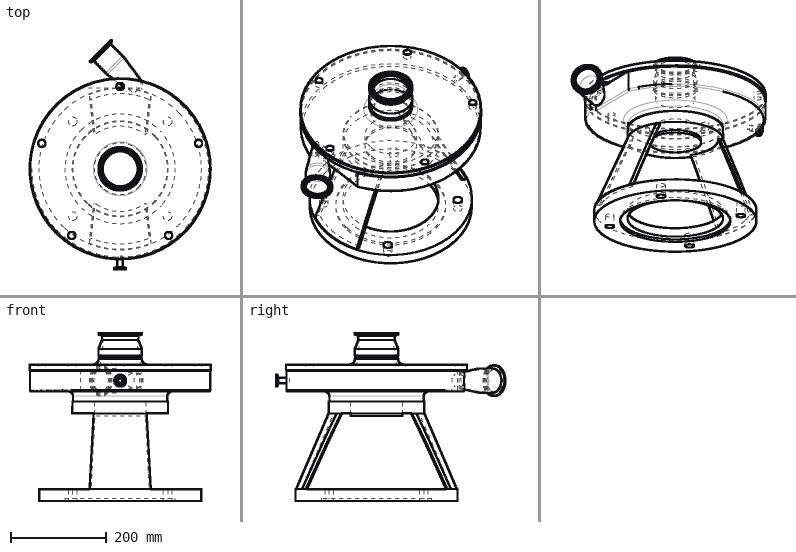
import cadquery as cq
import math

base_radius = 170.0
base_bore_radius = 100.0
base_recess_radius = 115.0
base_recess_depth = 6.0
plate_thickness = 25.0
base_bolt_circle_radius = 140.0
base_bolt_hole_radius = 9.0
base_bolt_count = 4
first_base_bolt_angle = 45

ring_radius = 100.5
ring_bottom_z = 183.5
ring_top_z = ring_bottom_z + plate_thickness

leg_foot_radius = 168.5
leg_wall = 11.0
leg_foot_half_width = 64.5
leg_head_half_width = 55.5
leg_chamfer = 4.0

spigot_radius = 54.2
spigot_bottom_z = 177.5
neck_radius = 99.0
neck_fillet = 9.5
casing_radius = 188.5
casing_bottom_z = 229.0
casing_bottom_fillet = 4.0
edge_chamfer = 1.5

notch_face_y = 169.5
notch_end_x = 43.0

lid_radius = 189.5
lid_bottom_z = 273.0
lid_top_z = 286.0
lid_hole_radius = 7.5
lid_hole_circle_radius = 172.5
lid_hole_count = 5
first_lid_hole_angle = 90

nozzle_top_z = 351.5
nozzle_wide_radius = 45.5
nozzle_tube_radius = 38.5
boss_fillet = 10.5
groove_bottom_z = 297.0
groove_middle_z = 301.0
groove_top_z = 304.5
groove_depth = 2.0
reducer_bottom_z = 318.5
reducer_top_z = 337.0
nozzle_bore_radius = 36.5
nozzle_lower_bore_radius = 41.5
bore_cone_top_z = 322.5
nozzle_gasket_radius = 42.0

flange_rim = 3.0
flange_slope = 3.0
gasket_groove_section = 1.5
port_z = 252.0

outlet_angle = 135
outlet_offset = 145.5
outlet_face_distance = 204.0
outlet_cone_start = 158.5
outlet_cone_end = 91.0
outlet_flange_radius = 32.0
outlet_tube_radius = 25.5
outlet_cone_end_radius = 15.5
outlet_wall = 2.0
outlet_bore_cone_start = 163.0
outlet_gasket_radius = 28.5

drain_face_y = -210.5
drain_root_y = -182.5
drain_flange_radius = 12.5
drain_tube_radius = 6.2
drain_bore_radius = 5.0
drain_gasket_radius = 9.5
drain_flange_slope = 2.0


def disc(radius, bottom_z, top_z):
    return cq.Workplane("XY").workplane(offset=bottom_z).circle(radius).extrude(top_z - bottom_z)


def revolved(profile):
    """Solid of revolution about Z from (radius, z) points; the axis closes the outline."""
    points = [(0, profile[0][1]), *profile, (0, profile[-1][1])]
    return cq.Workplane("XZ").polyline(points).close().revolve(360, (0, 0), (0, 1))


def gasket_groove(radius, face_z):
    """Ring whose lower half sinks into a flange face at height face_z."""
    return (
        cq.Workplane("XZ")
        .center(radius, face_z)
        .circle(gasket_groove_section)
        .revolve(360, (-radius, 0), (-radius, 1))
    )


def make_legs():
    """Two opposite strips of a conical shell, narrowing toward the mounting ring."""
    outer = revolved([(leg_foot_radius, plate_thickness), (ring_radius, ring_bottom_z)])
    inner = revolved([
        (leg_foot_radius - leg_wall, plate_thickness),
        (ring_radius - leg_wall, ring_bottom_z),
    ])
    strip = (
        cq.Workplane("XZ")
        .polyline([
            (-leg_foot_half_width, plate_thickness),
            (leg_foot_half_width, plate_thickness),
            (leg_head_half_width, ring_bottom_z),
            (-leg_head_half_width, ring_bottom_z),
        ])
        .close()
        .extrude(base_radius, both=True)
    )
    legs = outer.cut(inner).intersect(strip)

    middle_radius = (leg_foot_radius + ring_radius - leg_wall) / 2
    middle_half_width = (leg_foot_half_width + leg_head_half_width) / 2
    middle_y = math.sqrt(middle_radius**2 - middle_half_width**2)
    inner_long_edges = cq.selectors.BoxSelector(
        (-base_radius, -middle_y, plate_thickness + leg_wall),
        (base_radius, middle_y, ring_bottom_z - leg_wall),
    )
    return legs.edges(inner_long_edges).chamfer(leg_chamfer)


def make_stand():
    base = disc(base_radius, 0, plate_thickness).cut(disc(base_bore_radius, 0, plate_thickness))
    recess = disc(base_recess_radius, 0, base_recess_depth)
    bolt_holes = (
        cq.Workplane("XY")
        .polarArray(base_bolt_circle_radius, first_base_bolt_angle, 360, base_bolt_count)
        .circle(base_bolt_hole_radius)
        .extrude(plate_thickness)
    )
    ring = disc(ring_radius, ring_bottom_z, ring_top_z)
    spigot_bore = disc(spigot_radius, ring_bottom_z, ring_top_z)
    return base.cut(recess).cut(bolt_holes).union(make_legs()).union(ring.cut(spigot_bore))


def make_casing():
    """Round casing with its neck, the spigot that fills the stand ring, and the rear notch."""
    drum = disc(casing_radius, casing_bottom_z, lid_bottom_z)
    drum = drum.faces(">Z").edges().chamfer(edge_chamfer)
    notch = cq.Workplane("XY").box(
        casing_radius + notch_end_x,
        casing_radius - notch_face_y,
        lid_bottom_z - casing_bottom_z,
        centered=False,
    ).translate((-casing_radius, notch_face_y, casing_bottom_z))
    drum = drum.cut(notch).faces("<Z").edges().fillet(casing_bottom_fillet)
    neck_fillet_z = casing_bottom_z - neck_fillet
    neck_flare_radius = neck_radius + neck_fillet
    arc_reach = neck_fillet * (1 - math.sqrt(0.5))
    neck = (
        cq.Workplane("XZ")
        .moveTo(0, ring_top_z)
        .lineTo(neck_radius, ring_top_z)
        .lineTo(neck_radius, neck_fillet_z)
        .threePointArc(
            (neck_radius + arc_reach, casing_bottom_z - arc_reach),
            (neck_flare_radius, casing_bottom_z),
        )
        .lineTo(0, casing_bottom_z)
        .close()
        .revolve(360, (0, 0), (0, 1))
    )
    spigot = disc(spigot_radius, spigot_bottom_z, ring_top_z)
    return drum.union(neck).union(spigot)


def make_lid():
    lid = disc(lid_radius, lid_bottom_z, lid_top_z).edges().chamfer(edge_chamfer)
    holes = (
        cq.Workplane("XY")
        .workplane(offset=lid_bottom_z)
        .polarArray(lid_hole_circle_radius, first_lid_hole_angle, 360, lid_hole_count)
        .circle(lid_hole_radius)
        .extrude(lid_top_z - lid_bottom_z)
    )
    return lid.cut(holes)


def make_nozzle():
    """Flared boss, weld groove, reducer and clamp flange above the lid."""
    flange_back_z = nozzle_top_z - flange_rim
    boss_flare_radius = nozzle_wide_radius + boss_fillet
    arc_reach = boss_fillet * (1 - math.sqrt(0.5))
    return (
        cq.Workplane("XZ")
        .moveTo(0, lid_top_z)
        .lineTo(boss_flare_radius, lid_top_z)
        .threePointArc(
            (nozzle_wide_radius + arc_reach, lid_top_z + arc_reach),
            (nozzle_wide_radius, lid_top_z + boss_fillet),
        )
        .lineTo(nozzle_wide_radius, groove_bottom_z)
        .lineTo(nozzle_wide_radius - groove_depth, groove_middle_z)
        .lineTo(nozzle_wide_radius, groove_top_z)
        .lineTo(nozzle_wide_radius, reducer_bottom_z)
        .lineTo(nozzle_tube_radius, reducer_top_z)
        .lineTo(nozzle_tube_radius, flange_back_z - flange_slope)
        .lineTo(nozzle_wide_radius, flange_back_z)
        .lineTo(nozzle_wide_radius, nozzle_top_z)
        .lineTo(0, nozzle_top_z)
        .close()
        .revolve(360, (0, 0), (0, 1))
    )


def make_nozzle_bore():
    """Bore that widens below the reducer and ends at the underside of the lid."""
    return revolved([
        (nozzle_lower_bore_radius, lid_bottom_z),
        (nozzle_lower_bore_radius, groove_top_z),
        (nozzle_bore_radius, bore_cone_top_z),
        (nozzle_bore_radius, nozzle_top_z),
    ])


def place_on_outlet_axis(shape):
    """Lay a shape built along Z onto the outlet axis."""
    across = math.radians(outlet_angle - 90)
    turned = shape.rotate((0, 0, 0), (0, 1, 0), 90).rotate((0, 0, 0), (0, 0, 1), outlet_angle)
    return turned.translate((
        outlet_offset * math.cos(across),
        outlet_offset * math.sin(across),
        port_z,
    ))


def make_outlet():
    flange_back = outlet_face_distance - flange_rim
    return place_on_outlet_axis(revolved([
        (outlet_cone_end_radius, outlet_cone_end),
        (outlet_tube_radius, outlet_cone_start),
        (outlet_tube_radius, flange_back - flange_slope),
        (outlet_flange_radius, flange_back),
        (outlet_flange_radius, outlet_face_distance),
    ]))


def make_outlet_bore():
    return place_on_outlet_axis(revolved([
        (outlet_cone_end_radius - outlet_wall, outlet_cone_end),
        (outlet_tube_radius - outlet_wall, outlet_bore_cone_start),
        (outlet_tube_radius - outlet_wall, outlet_face_distance),
    ]))


def place_on_drain_axis(shape):
    """Lay a shape built along Z so that it points toward -Y at the port height."""
    return shape.rotate((0, 0, 0), (1, 0, 0), 90).translate((0, 0, port_z))


def make_drain():
    flange_back = -drain_face_y - flange_rim
    return place_on_drain_axis(revolved([
        (drain_tube_radius, -drain_root_y),
        (drain_tube_radius, flange_back - drain_flange_slope),
        (drain_flange_radius, flange_back),
        (drain_flange_radius, -drain_face_y),
    ]))


def make_drain_bore():
    return place_on_drain_axis(disc(drain_bore_radius, -drain_root_y, -drain_face_y))


def make_pump():
    pump = make_casing().union(make_lid()).union(make_nozzle())
    pump = pump.union(make_outlet()).union(make_drain())
    pump = pump.cut(make_nozzle_bore()).cut(make_outlet_bore()).cut(make_drain_bore())
    pump = pump.cut(gasket_groove(nozzle_gasket_radius, nozzle_top_z))
    pump = pump.cut(place_on_outlet_axis(gasket_groove(outlet_gasket_radius, outlet_face_distance)))
    return pump.cut(place_on_drain_axis(gasket_groove(drain_gasket_radius, -drain_face_y)))


stand = make_stand()
pump = make_pump()

result = cq.Compound.makeCompound([stand.solids().val(), pump.solids().val()])